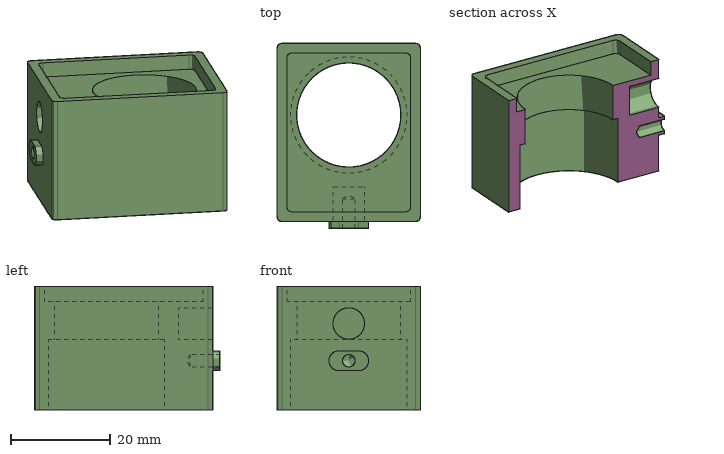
import cadquery as cq
import math

width = 29.0
height = 25.0
overall_length = 37.4
key_projection = 1.4
block_length = overall_length - key_projection
corner_radius = 1.0

wall = 2.0
recess_depth = 3.0
recess_corner_radius = corner_radius

bore_diameter = 21.0
bore_length = 7.7
lower_bore_diameter = 23.5
bore_y = block_length / 2 - width / 2
shoulder_z = height - recess_depth - bore_length

socket_diameter = 6.35
socket_depth = 7.0
socket_z = 17.5

key_height = 4.0
key_length = 2 * key_height
key_z = 10.0
pilot_diameter = 2.5
pilot_depth = 6.0
drill_point_angle = 118.0

front_y = -block_length / 2
key_face_y = front_y - key_projection


def rounded_block(size_x, size_y, size_z, radius, base_z):
    """Centred box with rounded vertical edges."""
    return (
        cq.Workplane("XY", origin=(0, 0, base_z))
        .rect(size_x, size_y)
        .extrude(size_z)
        .edges("|Z")
        .fillet(radius)
    )


def front_plane(y, z):
    """Plane facing -Y, so positive extrusion leaves the front face."""
    return cq.Workplane("XZ", origin=(0, y, z))


def stepped_bore():
    """Bore below the recess that widens at a shoulder and opens at the base."""
    upper = cq.Workplane("XY", origin=(0, bore_y, 0)).circle(bore_diameter / 2).extrude(height)
    lower = cq.Workplane("XY", origin=(0, bore_y, 0)).circle(lower_bore_diameter / 2).extrude(shoulder_z)
    return upper.union(lower)


def drilled_hole():
    """Blind hole from the key face ending in a conical drill point."""
    radius = pilot_diameter / 2
    point_depth = radius / math.tan(math.radians(drill_point_angle / 2))
    return (
        cq.Workplane("XY", origin=(0, key_face_y, key_z))
        .polyline([(0, 0), (radius, 0), (radius, pilot_depth), (0, pilot_depth + point_depth)])
        .close()
        .revolve(360, (0, 0, 0), (0, 1, 0))
    )


block = rounded_block(width, block_length, height, corner_radius, 0)
recess = rounded_block(
    width - 2 * wall, block_length - 2 * wall, recess_depth, recess_corner_radius, height - recess_depth
)
socket = front_plane(front_y, socket_z).circle(socket_diameter / 2).extrude(-socket_depth)
key = front_plane(front_y, key_z).slot2D(key_length, key_height).extrude(key_projection)

body = block.cut(recess).cut(stepped_bore()).cut(socket).union(key).cut(drilled_hole())

result = body.translate((0, key_projection / 2, 0))